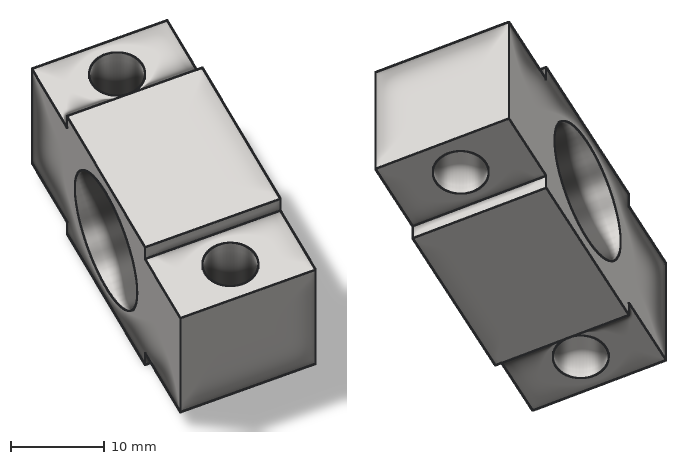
import cadquery as cq

length = 38.0
depth = 16.0
height = 20.0

block_length = height
ear_height = 16.0

bore_diameter = 16.0
bolt_diameter = 6.0
ear_length = (length - block_length) / 2
bolt_spacing = block_length + ear_length


def make_body():
    """Square central block with a lower ear on each side."""
    ears = cq.Workplane("XY").box(length, depth, ear_height)
    block = cq.Workplane("XY").box(block_length, depth, height)
    return ears.union(block)


def make_bore():
    """Round bore running through the block along Y."""
    return cq.Workplane("XZ", origin=(0, depth / 2, 0)).circle(bore_diameter / 2).extrude(depth)


def make_bolt_holes():
    """Vertical through holes, one centered in each ear."""
    centers = [(side * bolt_spacing / 2, 0) for side in (-1, 1)]
    return (
        cq.Workplane("XY", origin=(0, 0, -ear_height / 2))
        .pushPoints(centers)
        .circle(bolt_diameter / 2)
        .extrude(ear_height)
    )


result = make_body().cut(make_bore()).cut(make_bolt_holes())